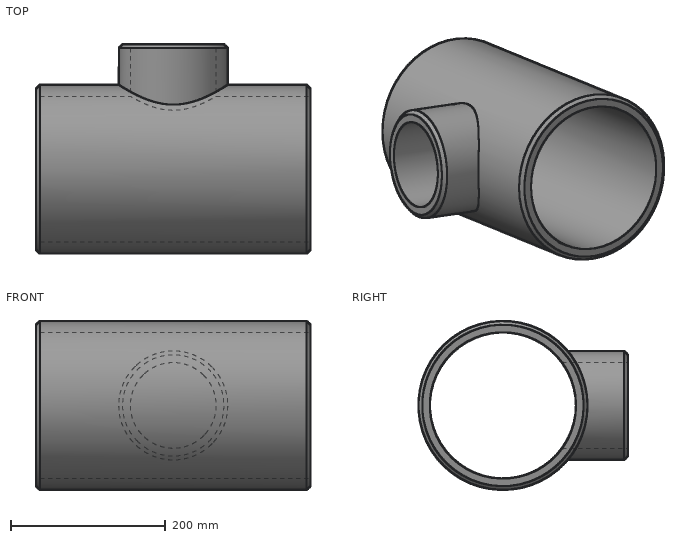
import cadquery as cq

run_length = 355.6
run_diameter = 219.1
branch_diameter = 141.3
branch_reach = 162.04
wall = 15.1
bevel = 5.0


def run_cylinder(diameter):
    """Cylinder over the whole run, centred on the origin."""
    return cq.Workplane("YZ").circle(diameter / 2).extrude(run_length / 2, both=True)


def branch_cylinder(diameter):
    """Cylinder from the run axis out to the branch end face."""
    return cq.Workplane("XZ").circle(diameter / 2).extrude(-branch_reach)


run_outside = run_cylinder(run_diameter).faces("<X or >X").chamfer(bevel)
branch_outside = branch_cylinder(branch_diameter).faces(">Y").chamfer(bevel)
outside = run_outside.union(branch_outside)

run_bore = run_cylinder(run_diameter - 2 * wall)
branch_bore = branch_cylinder(branch_diameter - 2 * wall)

result = outside.cut(run_bore).cut(branch_bore)